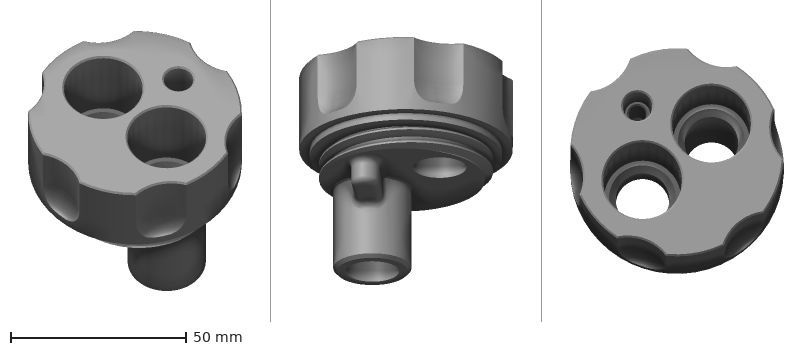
import math
import cadquery as cq

cap_diameter = 61.0
cap_height = 22.5
cap_edge_chamfer = 0.5

collar_diameter = 55.0
collar_height = 2.0

thread_major_diameter = 49.7
thread_minor_diameter = 45.13
thread_length = 7.0
thread_pitch = 4.0
thread_crest_width = 0.5
thread_half_angle = 30.0
thread_crest_z = -1.1
thread_overlap = 0.3

grip_count = 6
grip_first_angle = 30.0
grip_radius = 13.9
grip_depth = 3.06
grip_length = 20.0
grip_runout_height = 7.1

overall_height = 56.5
tube_diameter = 22.35
tube_bore_diameter = 15.29
tube_offset_x = 12.85
tube_end_chamfer = 1.0
tube_root_chamfer = 0.5

socket_mouth_diameter = 23.5
socket_mouth_chamfer = 0.5
socket_floor_diameter = 21.9
socket_depth = cap_height
bore_mouth_diameter = 19.15

pilot_y = 17.5
pilot_mouth_diameter = 9.4
pilot_mouth_chamfer = 0.5
pilot_floor_diameter = 7.2
pilot_depth = 10.0
pilot_step_diameter = 6.0
pilot_bore_diameter = 5.0
pilot_bore_depth = 25.0
pilot_tip_diameter = 1.1

lug_width = 8.0
lug_height = 8.0
lug_fillet = 2.0

top_z = cap_height
collar_bottom_z = -collar_height
body_bottom_z = collar_bottom_z - thread_length
tube_bottom_z = top_z - overall_height
lug_bottom_z = body_bottom_z - lug_height


def cylinder(diameter, low_z, high_z, x=0.0, y=0.0):
    """Upright cylinder between two heights."""
    return cq.Workplane("XY", origin=(x, y, low_z)).circle(diameter / 2).extrude(high_z - low_z)


def turned(profile, x=0.0, y=0.0):
    """Solid turned about the vertical axis at (x, y) from (radius, z) points."""
    solid = cq.Workplane("XZ").polyline(profile).close().revolve(360, (0, 0, 0), (0, 1, 0))
    return solid.translate((x, y, 0))


def grip_cutter():
    """Vertical round flute whose lower end runs out along an elliptical curve."""
    runout_top_z = top_z - grip_length + grip_runout_height
    axis_x = cap_diameter / 2 - grip_depth + grip_radius
    profile = (
        cq.Workplane("XZ")
        .moveTo(0, top_z)
        .lineTo(grip_radius, top_z)
        .lineTo(grip_radius, runout_top_z)
        .ellipseArc(grip_depth, grip_runout_height, 270, 360, sense=-1)
        .lineTo(0, top_z - grip_length)
        .close()
    )
    return profile.revolve(360, (0, 0, 0), (0, 1, 0)).translate((axis_x, 0, 0))


def grip_cap():
    """Round cap with grip flutes and a chamfered upper rim."""
    cap = cylinder(cap_diameter, 0, top_z)
    cutter = grip_cutter()
    for index in range(grip_count):
        angle = grip_first_angle + index * 360 / grip_count
        cap = cap.cut(cutter.rotate((0, 0, 0), (0, 0, 1), angle))
    return cap.faces(">Z").chamfer(cap_edge_chamfer)


def thread_ridge():
    """Right-hand helical ridge, trimmed flat at both ends of the threaded length."""
    major_radius = thread_major_diameter / 2
    base_radius = thread_minor_diameter / 2 - thread_overlap
    half_crest = thread_crest_width / 2
    half_base = half_crest + (major_radius - base_radius) * math.tan(math.radians(thread_half_angle))
    turns_below = math.ceil((thread_crest_z - body_bottom_z) / thread_pitch) + 1
    start_z = thread_crest_z - turns_below * thread_pitch
    helix_height = (turns_below + 1) * thread_pitch
    helix = cq.Wire.makeHelix(thread_pitch, helix_height, base_radius, cq.Vector(0, 0, start_z))
    ridge = (
        cq.Workplane("XZ", origin=(0, 0, start_z))
        .polyline([
            (base_radius, -half_base),
            (major_radius, -half_crest),
            (major_radius, half_crest),
            (base_radius, half_base),
        ])
        .close()
        .sweep(cq.Workplane(helix), isFrenet=True)
    )
    return ridge.intersect(cylinder(collar_diameter, body_bottom_z, collar_bottom_z))


def tube_and_lug():
    """Outlet tube joined by a filleted lug that runs from below the pilot hole to the tube."""
    slab = cylinder(cap_diameter, body_bottom_z, 0)
    tube = cylinder(tube_diameter, tube_bottom_z, 0, tube_offset_x)
    tube = tube.faces("<Z").chamfer(tube_end_chamfer)
    lug_length = math.hypot(tube_offset_x, pilot_y)
    lug_angle = math.degrees(math.atan2(-pilot_y, tube_offset_x))
    round_end = cylinder(lug_width, lug_bottom_z, body_bottom_z)
    bar = (
        cq.Workplane("XY", origin=(lug_length / 2, 0, lug_bottom_z))
        .rect(lug_length, lug_width)
        .extrude(lug_height)
    )
    lug = (
        round_end.union(bar)
        .rotate((0, 0, 0), (0, 0, 1), lug_angle)
        .translate((0, pilot_y, 0))
    )
    joined = slab.union(tube).union(lug)
    around_lug = cq.selectors.BoxSelector(
        (-lug_width, lug_fillet, lug_bottom_z - lug_fillet),
        (tube_offset_x, pilot_y + lug_width, body_bottom_z + lug_fillet),
    )
    joined = joined.edges(around_lug).fillet(lug_fillet)
    tube_radius = tube_diameter / 2
    root_collar = turned(
        [
            (0, body_bottom_z),
            (tube_radius + tube_root_chamfer, body_bottom_z),
            (tube_radius, body_bottom_z - tube_root_chamfer),
            (0, body_bottom_z - tube_root_chamfer),
        ],
        tube_offset_x,
    )
    return joined.cut(slab).union(root_collar)


def socket_cutter(x):
    """Tapered socket with a chamfered mouth, above a bore that passes right through."""
    mouth_radius = socket_mouth_diameter / 2
    bore_radius = tube_bore_diameter / 2
    bore_mouth_radius = bore_mouth_diameter / 2
    floor_z = top_z - socket_depth
    profile = [
        (0, top_z),
        (mouth_radius, top_z),
        (mouth_radius - socket_mouth_chamfer, top_z - socket_mouth_chamfer),
        (socket_floor_diameter / 2, floor_z),
        (bore_mouth_radius, floor_z),
        (bore_radius, floor_z - (bore_mouth_radius - bore_radius)),
        (bore_radius, tube_bottom_z),
        (0, tube_bottom_z),
    ]
    return turned(profile, x)


def pilot_cutter():
    """Tapered pilot socket above a blind bore with a conical end."""
    mouth_radius = pilot_mouth_diameter / 2
    step_radius = pilot_step_diameter / 2
    bore_radius = pilot_bore_diameter / 2
    tip_radius = pilot_tip_diameter / 2
    floor_z = top_z - pilot_depth
    bore_end_z = top_z - pilot_bore_depth
    tip_z = bore_end_z - (bore_radius - tip_radius)
    profile = [
        (0, top_z),
        (mouth_radius, top_z),
        (mouth_radius - pilot_mouth_chamfer, top_z - pilot_mouth_chamfer),
        (pilot_floor_diameter / 2, floor_z),
        (step_radius, floor_z),
        (bore_radius, floor_z - (step_radius - bore_radius)),
        (bore_radius, bore_end_z),
        (tip_radius, tip_z),
        (0, tip_z),
    ]
    return turned(profile, 0, pilot_y)


result = (
    grip_cap()
    .union(cylinder(collar_diameter, collar_bottom_z, 0))
    .union(cylinder(thread_minor_diameter, body_bottom_z, 0))
    .union(thread_ridge())
    .union(tube_and_lug())
    .cut(socket_cutter(tube_offset_x))
    .cut(socket_cutter(-tube_offset_x))
    .cut(pilot_cutter())
)